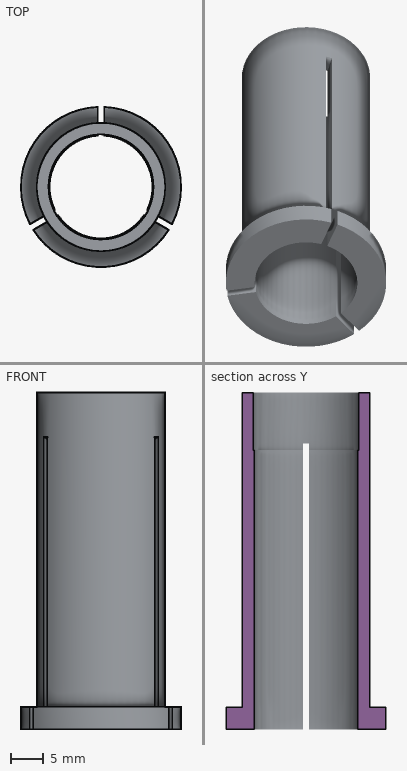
import cadquery as cq
import math

total_height = 52.5
sleeve_diameter = 20.0

flange_diameter = 25.0
flange_height = 3.5

bore_diameter = 16.0
counterbore_diameter = 16.4
counterbore_depth = 9.0

slot_count = 3
slot_width = 1.0
slot_top_gap = 6.9
slot_top_slope = 30
first_slot_angle = 90


def make_body():
    """Flanged sleeve with a stepped bore."""
    flange = cq.Workplane("XY").circle(flange_diameter / 2).extrude(flange_height)
    sleeve = cq.Workplane("XY").circle(sleeve_diameter / 2).extrude(total_height)
    bore = cq.Workplane("XY").circle(bore_diameter / 2).extrude(total_height)
    counterbore = (
        cq.Workplane("XY")
        .workplane(offset=total_height - counterbore_depth)
        .circle(counterbore_diameter / 2)
        .extrude(counterbore_depth)
    )
    return flange.union(sleeve).cut(bore).cut(counterbore)


def make_slot(angle):
    """Radial cutter from the axis to the flange rim, with a top that drops toward the axis."""
    outer_radius = flange_diameter / 2
    rise_per_radius = math.tan(math.radians(slot_top_slope))
    axis_height = total_height - slot_top_gap - sleeve_diameter / 2 * rise_per_radius
    rim_height = axis_height + outer_radius * rise_per_radius
    return (
        cq.Workplane("XZ")
        .polyline([(0, 0), (outer_radius, 0), (outer_radius, rim_height), (0, axis_height)])
        .close()
        .extrude(slot_width / 2, both=True)
        .rotate((0, 0, 0), (0, 0, 1), angle)
    )


result = make_body()
for index in range(slot_count):
    result = result.cut(make_slot(first_slot_angle + index * 360 / slot_count))